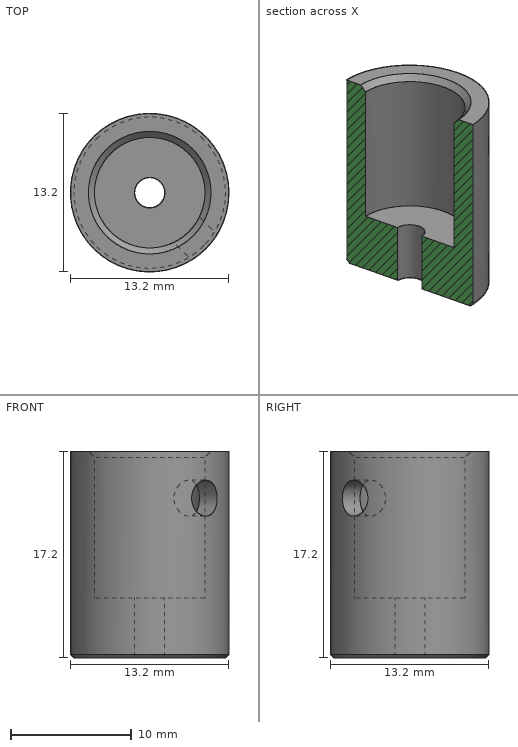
import cadquery as cq

outer_diameter = 13.2
height = 17.2
bottom_chamfer = 0.3

bore_diameter = 9.2
bore_chamfer = 0.5
floor_thickness = 5.0
bore_depth = height - floor_thickness

floor_hole_diameter = 2.5

side_hole_diameter = 3.0
side_hole_height = 13.3
side_hole_angle = -45.0


def make_body():
    """Solid cylinder standing on Z = 0 with a chamfered bottom rim."""
    body = cq.Workplane("XY").circle(outer_diameter / 2).extrude(height)
    return body.faces("<Z").edges().chamfer(bottom_chamfer)


def cut_bore(body):
    """Cut the blind bore from the top and chamfer its mouth."""
    bored = body.faces(">Z").workplane().hole(bore_diameter, bore_depth)
    mouth = bored.faces(">Z").edges(cq.selectors.RadiusNthSelector(0))
    return mouth.chamfer(bore_chamfer)


def cut_floor_hole(body):
    """Cut the small axial hole through the floor of the bore."""
    return body.faces("<Z").workplane().hole(floor_hole_diameter)


def cut_side_hole(body):
    """Cut a radial hole from the axis outward, through one side of the wall only."""
    drill = (
        cq.Workplane("YZ")
        .center(0, side_hole_height)
        .circle(side_hole_diameter / 2)
        .extrude(outer_diameter)
        .rotate((0, 0, 0), (0, 0, 1), side_hole_angle)
    )
    return body.cut(drill)


sleeve = cut_bore(make_body())
sleeve = cut_floor_hole(sleeve)
result = cut_side_hole(sleeve)